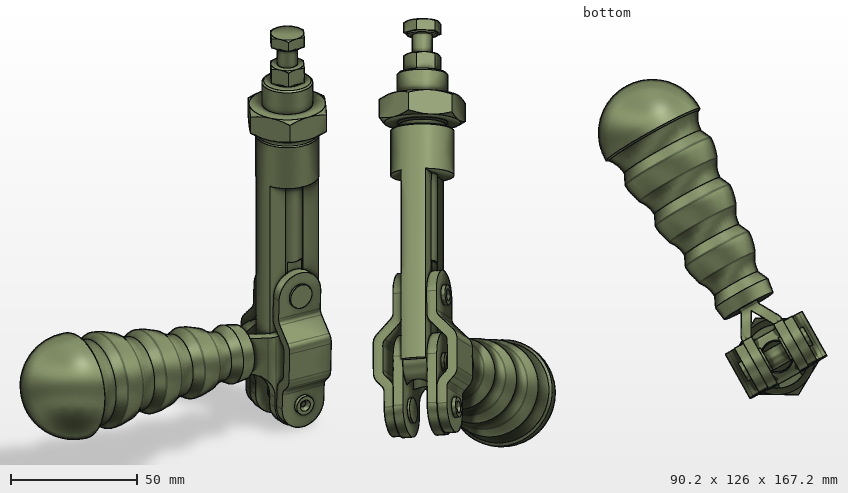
import cadquery as cq
import math

ASSEMBLY_TURN = -29.2

SHEET = 4.0

BARREL_R = 12.5
FLAT_X = 5.0
BARREL_BOTTOM_R = 9.9
SLEEVE_BOTTOM_Z = 105.2
SLEEVE_TOP_Z = 123.6
SLEEVE_CHAMFER = 0.5
THREAD_R = 10.0
NECK_R = 9.2
THREAD_START_Z = 125.8
THREAD_TOP_Z = 146.5
THREAD_CHAMFER = 0.7
ROD_R = 6.0
BORE_R = 6.5
BORE_END_Z = 101.4
TONGUE_TOP_Z = 69.7

HEX_HALF_ANGLE = 30
HEX_CHAMFER_ANGLE = 30
NUT_FLATS = 30.1
NUT_BOTTOM_Z = 126.6
NUT_HEIGHT = 9.9
BOLT_FLATS = 13.0
SHANK_R = 4.0
WASHER_R = 6.0
WASHER_HEIGHT = 0.7
JAM_NUT_HEIGHT = 6.7
BOLT_HEAD_HEIGHT = 4.5
BOLT_TOP_Z = 167.2

BRACKET_R = 10.5
STRAP_R = 9.9
ROD_PIVOT = (0.0, 56.0)
LINK_PIVOT = (-1.2, BRACKET_R)
BODY_PIVOT = (0.0, 28.6)

BRACKET_TOP_Z = 41.0
ARM_BOTTOM_Z = 25.6
ARM_CORNER_R = 10.9
BRACKET_BEND_Y = -13.0
BRACKET_BEND_ANGLE = 30
BRACKET_BEND_R = 2.3
STEM_END_Y = -50.2

STRAP_BOW_X = 17.4
BOW_TOP_Z = 38.5
BOW_BOTTOM_Z = 22.4
STRAP_BEND_ANGLE = 45
STRAP_CONCAVE_R = 3.3
STRAP_CONVEX_R = 5.4

RIVET_HEAD_R = 5.0
RIVET_HEAD_HEIGHT = 1.0
RIVET_END_R = 4.0
RIVET_END_HEIGHT = 1.7
RIVET_HOLE_R = 2.3
RIVET_HOLE_DEPTH = 3.3
BODY_PIN_R = 4.0
BODY_PIN_PROUD = 2.0
BODY_PIN_CHAMFER = 0.7

GRIP_TILT = 4.2
GRIP_AXIS_Z = 32.1
BALL_AT = 101.2
BALL_R = 21.2
BALL_LIP = 0.7
GRIP_START = 22.9
GRIP_START_R = 11.0
RIDGE_PITCH = 19.9
RIDGE_GROWTH = 2.5
RIDGE_COUNT = 4
FIRST_RIDGE_END = 28.6
FIRST_RIDGE_END_R = 11.9
VALLEY_OFFSET = 4.3
VALLEY_DEPTH = 2.0
VALLEY_SAG = 3.2
VALLEY_SAG_RISE = 0.5
NEXT_RIDGE_OFFSET = 11.5
NEXT_RIDGE_RISE = 0.7
RIDGE_CROWN_OFFSET = 4.2
RIDGE_CROWN_RISE = 1.3
RIDGE_EDGE_R = 0.8


def cylinder(radius, bottom, top):
    """A cylinder on the barrel axis between two heights."""
    return cq.Workplane("XY").workplane(offset=bottom).circle(radius).extrude(top - bottom)


def cross_pin(radius, pivot, start_x, end_x):
    """A round pin parallel to X, centred on a (y, z) pivot."""
    plane = cq.Workplane("YZ").workplane(offset=start_x).center(*pivot)
    return plane.circle(radius).extrude(end_x - start_x)


def chamfered_hex(flats, bottom, height, chamfer_bottom=True):
    """A hexagon with a pair of flats facing +X and -X and its corners turned off to a cone."""
    across_corners = flats / math.cos(math.radians(HEX_HALF_ANGLE))
    corner_drop = (across_corners - flats) / 2 * math.tan(math.radians(HEX_CHAMFER_ANGLE))
    blank = (
        cq.Workplane("XY").workplane(offset=bottom)
        .polygon(6, across_corners).extrude(height)
        .rotate((0, 0, 0), (0, 0, 1), HEX_HALF_ANGLE)
    )
    edge_r = across_corners / 2
    face_r = flats / 2
    bottom_points = [(edge_r, bottom)]
    if chamfer_bottom:
        bottom_points = [(face_r, bottom), (edge_r, bottom + corner_drop)]
    top = bottom + height
    outline = [(0, bottom)] + bottom_points + [(edge_r, top - corner_drop), (face_r, top), (0, top)]
    turned = cq.Workplane("XZ").polyline(outline).close().revolve(360, (0, 0, 0), (0, 1, 0))
    return blank.intersect(turned)


def fillet_at(solid, selector, points, radius):
    """Fillets the edge nearest to each point, among those a selector ('|X', ...) picks."""
    for point in points:
        edge = solid.edges(selector).edges(cq.selectors.NearestToPointSelector(point))
        solid = edge.fillet(radius)
    return solid


def make_barrel():
    """The flatted, bored barrel with its sleeve, threaded nose and mounting nut."""
    pivot_z = BODY_PIVOT[1]
    barrel = cylinder(BARREL_R, pivot_z, SLEEVE_TOP_Z).faces(">Z").chamfer(SLEEVE_CHAMFER)
    foot = cylinder(BARREL_R, pivot_z - BARREL_BOTTOM_R, pivot_z).intersect(
        cross_pin(BARREL_BOTTOM_R, BODY_PIVOT, -FLAT_X, FLAT_X)
    )
    barrel = barrel.union(foot)
    for side in (-1, 1):
        flat_cut = (
            cq.Workplane("XY")
            .box(BARREL_R, 2 * BARREL_R, SLEEVE_BOTTOM_Z, centered=(True, True, False))
            .translate((side * (FLAT_X + BARREL_R / 2), 0, 0))
        )
        barrel = barrel.cut(flat_cut)
    bore_outline = [
        (0, 0), (BORE_R, 0), (BORE_R, BORE_END_Z), (ROD_R, SLEEVE_BOTTOM_Z), (0, SLEEVE_BOTTOM_Z),
    ]
    bore = cq.Workplane("XZ").polyline(bore_outline).close().revolve(360, (0, 0, 0), (0, 1, 0))
    barrel = barrel.cut(bore)
    neck = cylinder(NECK_R, SLEEVE_TOP_Z, THREAD_START_Z)
    thread = cylinder(THREAD_R, THREAD_START_Z, THREAD_TOP_Z).faces("<Z or >Z").chamfer(THREAD_CHAMFER)
    nut = chamfered_hex(NUT_FLATS, NUT_BOTTOM_Z, NUT_HEIGHT)
    return barrel.union(neck).union(thread).union(nut)


def make_rod():
    """The plunger rod, with a flat-sided tongue where the straps grip it."""
    rod = cylinder(ROD_R, TONGUE_TOP_Z, SLEEVE_BOTTOM_Z)
    tongue_bottom = ROD_PIVOT[1] - ROD_R
    tongue = cylinder(ROD_R, tongue_bottom, TONGUE_TOP_Z).intersect(
        cq.Workplane("XY").box(2 * FLAT_X, 2 * ROD_R, BOLT_TOP_Z, centered=(True, True, False))
    )
    return rod.union(tongue)


def make_bolt():
    """The spindle bolt and its jam nut, each on a round washer face."""
    nut_bottom = THREAD_TOP_Z + WASHER_HEIGHT
    head_bottom = BOLT_TOP_Z - BOLT_HEAD_HEIGHT
    washer_faces = cylinder(WASHER_R, THREAD_TOP_Z, nut_bottom).union(
        cylinder(WASHER_R, head_bottom - WASHER_HEIGHT, head_bottom)
    )
    shank = cylinder(SHANK_R, THREAD_TOP_Z, head_bottom)
    jam_nut = chamfered_hex(BOLT_FLATS, nut_bottom, JAM_NUT_HEIGHT, chamfer_bottom=False)
    head = chamfered_hex(BOLT_FLATS, head_bottom, BOLT_HEAD_HEIGHT, chamfer_bottom=False)
    return shank.union(washer_faces).union(jam_nut).union(head)


def make_bracket_plate():
    """The +X half of the handle bracket: a flat cheek bent inward to a stem on the centre plane."""
    slope = math.tan(math.radians(BRACKET_BEND_ANGLE))
    bend_shift = SHEET * math.tan(math.radians(BRACKET_BEND_ANGLE / 2))
    inner_x = FLAT_X
    outer_x = FLAT_X + SHEET
    inner_bend_y = BRACKET_BEND_Y + bend_shift
    stem_inner_y = inner_bend_y - inner_x / slope
    stem_outer_y = BRACKET_BEND_Y - (outer_x - SHEET) / slope
    back_y = LINK_PIVOT[0] + BRACKET_R
    plan = [
        (inner_x, back_y), (inner_x, inner_bend_y), (0, stem_inner_y), (0, STEM_END_Y),
        (SHEET, STEM_END_Y), (SHEET, stem_outer_y), (outer_x, BRACKET_BEND_Y), (outer_x, back_y),
    ]
    sheet = cq.Workplane("XY").polyline(plan).close().extrude(BRACKET_TOP_Z)
    sheet = fillet_at(sheet, "|Z", [(outer_x, BRACKET_BEND_Y, 0)], BRACKET_BEND_R + SHEET)
    sheet = fillet_at(sheet, "|Z", [(inner_x, inner_bend_y, 0)], BRACKET_BEND_R)
    front_y = LINK_PIVOT[0] - BRACKET_R
    side = [
        (back_y, LINK_PIVOT[1]), (back_y, BRACKET_TOP_Z), (STEM_END_Y, BRACKET_TOP_Z),
        (STEM_END_Y, ARM_BOTTOM_Z), (front_y, ARM_BOTTOM_Z), (front_y, LINK_PIVOT[1]),
    ]
    outline = cq.Workplane("YZ").polyline(side).close().extrude(outer_x)
    outline = fillet_at(outline, "|X", [(0, front_y, ARM_BOTTOM_Z)], ARM_CORNER_R)
    outline = fillet_at(outline, "|X", [(0, back_y, BRACKET_TOP_Z)], BRACKET_R)
    outline = outline.union(cross_pin(BRACKET_R, LINK_PIVOT, 0, outer_x))
    return sheet.intersect(outline)


def make_strap():
    """The +X strap, bowed outward between the rod pivot and the link pivot."""
    rod_y, rod_z = ROD_PIVOT
    drop = math.hypot(LINK_PIVOT[0] - rod_y, rod_z - LINK_PIVOT[1])
    top_z = rod_z + STRAP_R
    bottom_z = rod_z - drop - STRAP_R
    top_x = FLAT_X + SHEET
    bottom_x = top_x + SHEET
    slope = math.tan(math.radians(STRAP_BEND_ANGLE))
    outer = [
        (top_x, top_z),
        (top_x, BOW_TOP_Z + (STRAP_BOW_X - top_x) / slope),
        (STRAP_BOW_X, BOW_TOP_Z),
        (STRAP_BOW_X, BOW_BOTTOM_Z),
        (bottom_x, BOW_BOTTOM_Z - (STRAP_BOW_X - bottom_x) / slope),
        (bottom_x, bottom_z),
    ]
    slide = SHEET * math.tan(math.radians(STRAP_BEND_ANGLE / 2))
    slides = [0, -slide, -slide, slide, slide, 0]
    inner = [(x - SHEET, z + move) for (x, z), move in zip(outer, slides)]
    profile = outer + inner[::-1]
    sheet = cq.Workplane("XZ").polyline(profile).close().extrude(STRAP_R, both=True)
    concave = [outer[1], inner[2], inner[3], outer[4]]
    convex = [inner[1], outer[2], outer[3], inner[4]]
    for corners, radius in ((concave, STRAP_CONCAVE_R), (convex, STRAP_CONVEX_R)):
        sheet = fillet_at(sheet, "|Y", [(x, 0, z) for x, z in corners], radius)
    round_ends = (
        cq.Workplane("YZ").center(0, rod_z - drop / 2)
        .slot2D(drop + 2 * STRAP_R, 2 * STRAP_R, 90).extrude(STRAP_BOW_X)
    )
    lean = math.degrees(math.asin((LINK_PIVOT[0] - rod_y) / drop))
    strap = sheet.intersect(round_ends).translate((0, rod_y, 0))
    return strap.rotate((0, rod_y, rod_z), (1, rod_y, rod_z), lean)


def make_rivet(pivot, head_x, end_x):
    """A rivet parallel to X, with a low head at head_x and a conically hollowed end at end_x."""
    direction = math.copysign(1, end_x - head_x)
    tip_x = end_x + direction * RIVET_END_HEIGHT
    head = cross_pin(RIVET_HEAD_R, pivot, head_x - direction * RIVET_HEAD_HEIGHT, head_x)
    shank = cross_pin(RIVET_END_R, pivot, head_x, tip_x)
    tip = cq.Vector(tip_x, *pivot)
    inward = cq.Vector(-direction, 0, 0)
    hollow = cq.Solid.makeCone(RIVET_HOLE_R, 0, RIVET_HOLE_DEPTH, tip, inward)
    return head.union(shank).cut(cq.Workplane(hollow))


def make_body_pin():
    """The plain pin on which the handle bracket swings about the barrel foot."""
    end_x = FLAT_X + SHEET + BODY_PIN_PROUD
    pin = cross_pin(BODY_PIN_R, BODY_PIVOT, -end_x, end_x)
    return pin.faces("<X or >X").chamfer(BODY_PIN_CHAMFER)


def make_grip():
    """A grip whose ridges grow at an even pitch toward the ball end, turned about its own axis."""
    profile = cq.Workplane("XY").moveTo(GRIP_START, 0).lineTo(GRIP_START, GRIP_START_R)
    start = GRIP_START
    start_r = GRIP_START_R
    ridge_edges = []
    for ridge in range(RIDGE_COUNT):
        end = FIRST_RIDGE_END + ridge * RIDGE_PITCH
        end_r = FIRST_RIDGE_END_R + ridge * RIDGE_GROWTH
        if ridge == 0:
            profile = profile.lineTo(end, end_r)
        else:
            crown = (start + RIDGE_CROWN_OFFSET, start_r + RIDGE_CROWN_RISE)
            profile = profile.threePointArc(crown, (end, end_r))
            ridge_edges += [(start, 0, 0), (end, 0, 0)]
        valley = end + VALLEY_OFFSET
        valley_r = end_r - VALLEY_DEPTH
        start = end + NEXT_RIDGE_OFFSET
        start_r = end_r + NEXT_RIDGE_RISE
        sag = (valley + VALLEY_SAG, valley_r + VALLEY_SAG_RISE)
        profile = profile.lineTo(valley, valley_r).threePointArc(sag, (start, start_r))
    lip = start + BALL_LIP
    lip_r = math.sqrt(BALL_R**2 - (BALL_AT - lip) ** 2)
    diagonal = BALL_R / math.sqrt(2)
    profile = (
        profile.lineTo(lip, lip_r)
        .threePointArc((BALL_AT + diagonal, diagonal), (BALL_AT + BALL_R, 0))
        .close()
    )
    grip = profile.revolve(360, (0, 0, 0), (1, 0, 0))
    grip = fillet_at(grip, "%CIRCLE", ridge_edges, RIDGE_EDGE_R)
    along_minus_y = grip.rotate((0, 0, 0), (0, 0, 1), -90)
    return along_minus_y.rotate((0, 0, 0), (1, 0, 0), -GRIP_TILT).translate((0, 0, GRIP_AXIS_Z))


cheek_x = FLAT_X + SHEET
strap_foot_x = cheek_x + SHEET

bracket_half = make_bracket_plate()
strap = make_strap()

assembly = make_barrel().union(make_rod()).union(make_bolt()).union(make_grip())
for half in (bracket_half, strap):
    assembly = assembly.union(half).union(half.mirror("YZ"))

assembly = assembly.union(make_rivet(ROD_PIVOT, cheek_x, -cheek_x))
assembly = assembly.union(make_body_pin())
for side in (-1, 1):
    assembly = assembly.union(make_rivet(LINK_PIVOT, side * FLAT_X, side * strap_foot_x))

result = assembly.rotate((0, 0, 0), (0, 0, 1), ASSEMBLY_TURN)